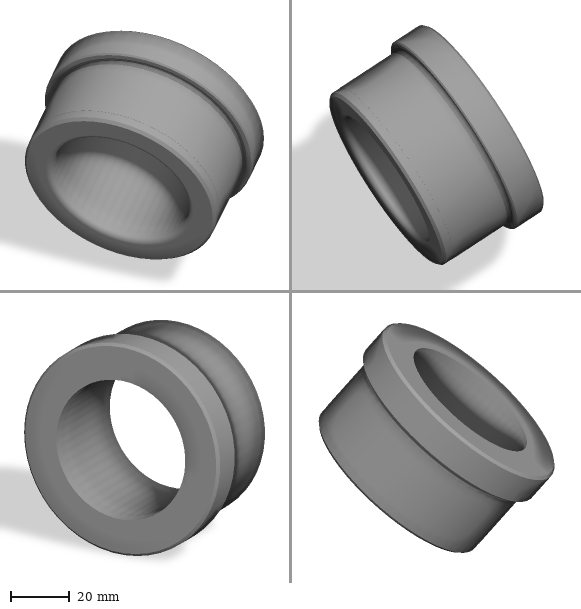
import cadquery as cq

flange_diameter = 76.0
total_length = 40.0
flange_length = 12.0
flange_back_chamfer = 1.0
flange_front_chamfer = 0.5

body_diameter = 70.0
nose_chamfer = 1.0
pilot_diameter = 69.85
pilot_length = 4.0

groove_diameter = 69.0
groove_width = 2.0
groove_taper_length = 0.45
face_undercut_diameter = 71.6
face_undercut_depth = 0.2
face_undercut_taper = 0.45

bore_diameter = 50.0
bore_mouth_radius = 2.0

flange_radius = flange_diameter / 2
body_radius = body_diameter / 2
pilot_radius = pilot_diameter / 2
face_undercut_radius = face_undercut_diameter / 2
groove_radius = groove_diameter / 2
bore_radius = bore_diameter / 2

nose_y = -total_length / 2
back_y = total_length / 2
flange_y = back_y - flange_length
groove_y = flange_y - groove_width


def revolved_bushing():
    """Solid turned outline with its bore, revolved about the Y axis."""
    profile = (
        cq.Workplane("XY")
        .moveTo(bore_radius, nose_y)
        .lineTo(pilot_radius - nose_chamfer, nose_y)
        .lineTo(pilot_radius, nose_y + nose_chamfer)
        .lineTo(pilot_radius, nose_y + pilot_length)
        .lineTo(body_radius, nose_y + pilot_length)
        .lineTo(body_radius, groove_y)
        .lineTo(groove_radius, groove_y + groove_taper_length)
        .lineTo(groove_radius, flange_y + face_undercut_depth)
        .lineTo(face_undercut_radius - face_undercut_taper, flange_y + face_undercut_depth)
        .lineTo(face_undercut_radius, flange_y)
        .lineTo(flange_radius - flange_front_chamfer, flange_y)
        .lineTo(flange_radius, flange_y + flange_front_chamfer)
        .lineTo(flange_radius, back_y - flange_back_chamfer)
        .lineTo(flange_radius - flange_back_chamfer, back_y)
        .lineTo(bore_radius, back_y)
        .close()
    )
    return profile.revolve(360, (0, 0, 0), (0, 1, 0))


def round_bore_mouth(bushing):
    """Round the bore edge at the nose face."""
    mouth_edge = bushing.faces("<Y").edges(cq.selectors.RadiusNthSelector(0))
    return mouth_edge.fillet(bore_mouth_radius)


result = round_bore_mouth(revolved_bushing())